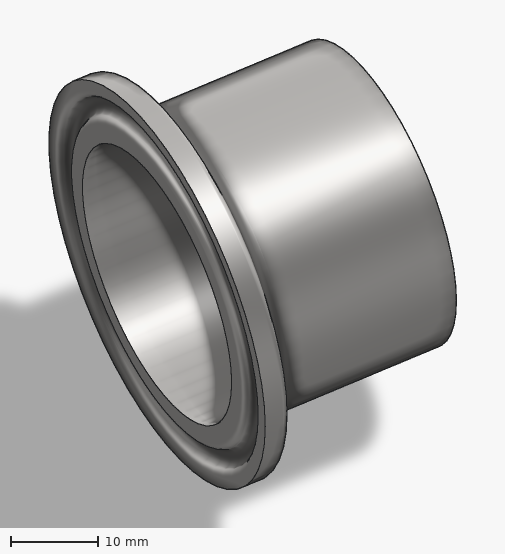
import cadquery as cq
import math

length = 28.7
bore_radius = 34.8 / 2
tube_radius = 38.1 / 2
flange_radius = 50.5 / 2
rim_height = 2.35
taper_angle = math.radians(20)
rim_round = 0.85
neck_round = 2.0

groove_radius = 21.75
groove_bottom_round = 1.2
groove_lip_round = 0.9
groove_depth = 1.6
groove_wall_angle = math.radians(20)


def arc_point(center, radius, angle):
    """Point on a circle, as (distance from axis, distance from sealing face)."""
    return (center[0] + radius * math.cos(angle), center[1] + radius * math.sin(angle))


def make_body():
    """Bored tube and flange, with tangent rounds at the rim and at the neck."""
    taper_normal = math.pi / 2 - taper_angle
    rim_center = (flange_radius - rim_round, rim_height)
    rim_end = arc_point(rim_center, rim_round, taper_normal)
    rim_middle = arc_point(rim_center, rim_round, taper_normal / 2)

    neck_x = tube_radius + neck_round
    neck_end_x = neck_x - neck_round * math.cos(taper_normal)
    neck_end_y = rim_end[1] + (rim_end[0] - neck_end_x) * math.tan(taper_angle)
    neck_center = (neck_x, neck_end_y + neck_round * math.sin(taper_normal))
    neck_middle = arc_point(neck_center, neck_round, math.pi + taper_normal / 2)

    profile = (
        cq.Workplane("XY")
        .moveTo(bore_radius, 0)
        .lineTo(flange_radius, 0)
        .lineTo(flange_radius, rim_height)
        .threePointArc(rim_middle, rim_end)
        .lineTo(neck_end_x, neck_end_y)
        .threePointArc(neck_middle, (tube_radius, neck_center[1]))
        .lineTo(tube_radius, length)
        .lineTo(bore_radius, length)
        .close()
    )
    return profile.revolve(360, (0, 0, 0), (0, 1, 0))


def make_groove():
    """Ring cutter with a round bottom, tilted walls and rounded lips."""
    bottom_center_y = groove_depth - groove_bottom_round
    bottom_x = groove_bottom_round * math.cos(groove_wall_angle)
    bottom_y = bottom_center_y + groove_bottom_round * math.sin(groove_wall_angle)

    lip_y = groove_lip_round * (1 - math.sin(groove_wall_angle))
    lip_x = bottom_x + (bottom_y - lip_y) * math.tan(groove_wall_angle)
    lip_center = (lip_x + groove_lip_round * math.cos(groove_wall_angle), groove_lip_round)
    lip_middle_angle = (math.pi + groove_wall_angle + 3 * math.pi / 2) / 2
    lip_middle = arc_point(lip_center, groove_lip_round, lip_middle_angle)

    def inner(point):
        return (groove_radius - point[0], point[1])

    def outer(point):
        return (groove_radius + point[0], point[1])

    face_edge = (lip_center[0], 0)
    lip_end = (lip_x, lip_y)
    bottom_end = (bottom_x, bottom_y)
    profile = (
        cq.Workplane("XY")
        .moveTo(*inner(face_edge))
        .threePointArc(inner(lip_middle), inner(lip_end))
        .lineTo(*inner(bottom_end))
        .threePointArc((groove_radius, groove_depth), outer(bottom_end))
        .lineTo(*outer(lip_end))
        .threePointArc(outer(lip_middle), outer(face_edge))
        .close()
    )
    return profile.revolve(360, (0, 0, 0), (0, 1, 0))


result = make_body().cut(make_groove())